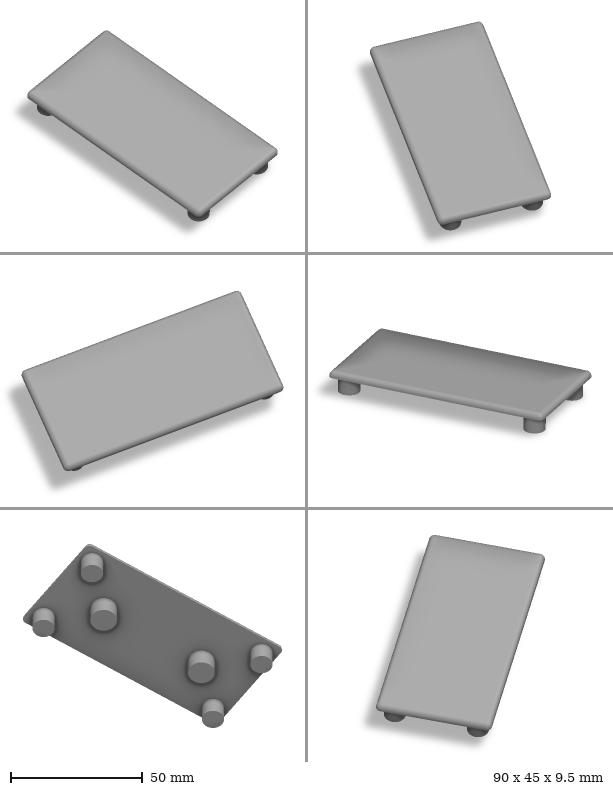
import cadquery as cq
import math

plate_length = 90.0
plate_width = 45.0
plate_thickness = 2.5
edge_radius = 2.0

total_height = 9.5
peg_height = total_height - plate_thickness
peg_draft_angle = 1.0
corner_peg_diameter = 8.65
corner_peg_x = 39.0
corner_peg_y = 16.2
middle_peg_diameter = 10.3
middle_peg_x = plate_length / 4

peg_taper = peg_height * math.tan(math.radians(peg_draft_angle))


def make_plate():
    """Plate with its underside at Z = 0 and equal rounds on the corners and the top rim."""
    plate = cq.Workplane("XY").box(
        plate_length, plate_width, plate_thickness, centered=(True, True, False)
    )
    return plate.edges("|Z or >Z").fillet(edge_radius)


def make_peg(root_diameter, x, y):
    """Solid peg that hangs from the plate and narrows toward its free end."""
    root_radius = root_diameter / 2
    return cq.Workplane(
        cq.Solid.makeCone(
            root_radius,
            root_radius - peg_taper,
            peg_height,
            cq.Vector(x, y, 0),
            cq.Vector(0, 0, -1),
        )
    )


result = make_plate()
for side_x in (-1, 1):
    result = result.union(make_peg(middle_peg_diameter, side_x * middle_peg_x, 0))
    for side_y in (-1, 1):
        result = result.union(
            make_peg(corner_peg_diameter, side_x * corner_peg_x, side_y * corner_peg_y)
        )